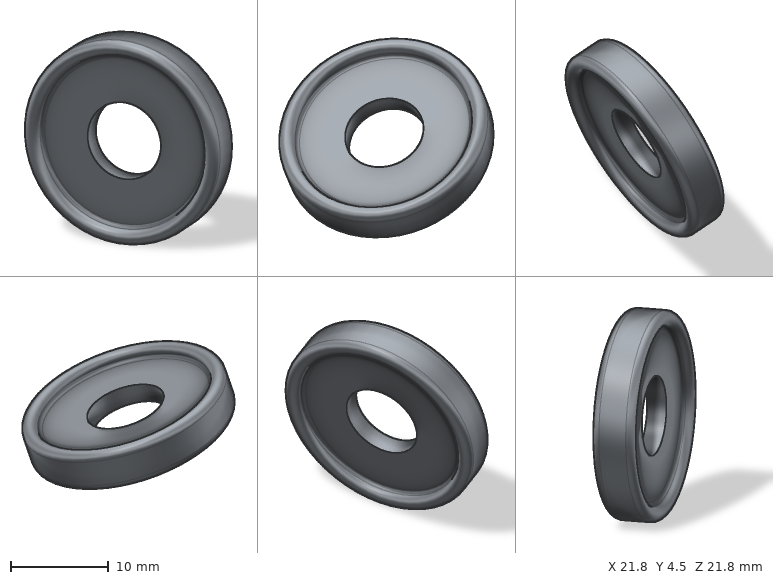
import cadquery as cq

outer_diameter = 21.8
thickness = 4.5
bore_diameter = 8.2
rim_width = 1.61
floor_fillet = 0.4

outer_radius = outer_diameter / 2
bore_radius = bore_diameter / 2
recess_radius = outer_radius - rim_width
floor_radius = recess_radius - floor_fillet

rim_round = rim_width / 2
crest_radius = outer_radius - rim_round

crest_height = thickness / 2
rim_tangent = crest_height - rim_round
floor_height = rim_tangent - floor_fillet

profile = (
    cq.Workplane("XY")
    .moveTo(bore_radius, -floor_height)
    .lineTo(floor_radius, -floor_height)
    .tangentArcPoint((recess_radius, -rim_tangent), relative=False)
    .threePointArc((crest_radius, -crest_height), (outer_radius, -rim_tangent))
    .lineTo(outer_radius, rim_tangent)
    .threePointArc((crest_radius, crest_height), (recess_radius, rim_tangent))
    .tangentArcPoint((floor_radius, floor_height), relative=False)
    .lineTo(bore_radius, floor_height)
    .close()
)

result = profile.revolve(360, (0, 0, 0), (0, 1, 0))